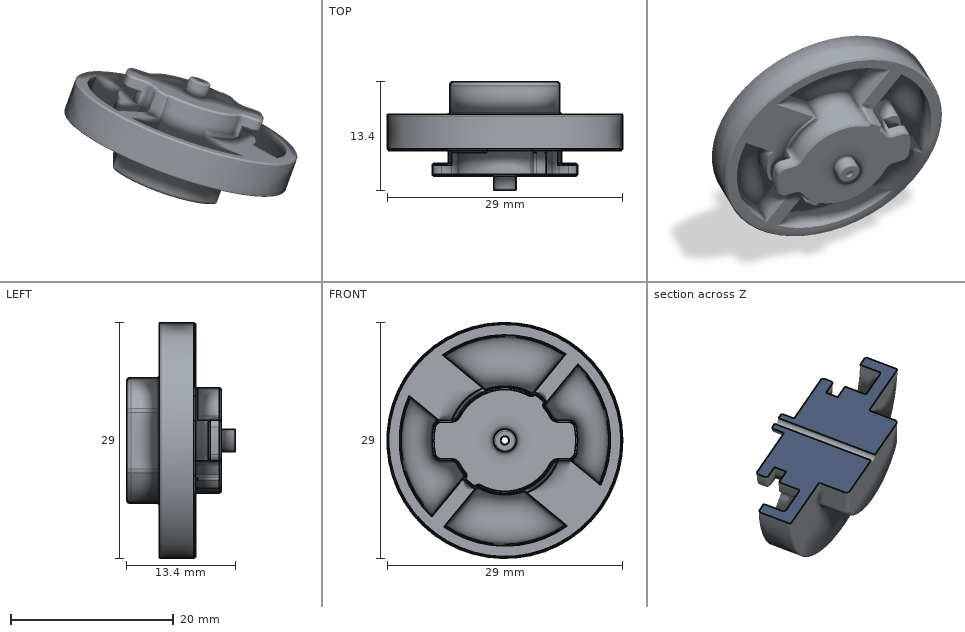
import cadquery as cq
import math


wheel_radius = 14.5
wheel_width = 4.5
rim_chamfer = 0.2
rim_fillet = 0.2

pocket_radius = 13.0
pocket_depth = 2.9
pocket_fillet = 0.2
narrow_web_angle = 50.5
narrow_web_width = 2.0
wide_web_angle = narrow_web_angle + 90
wide_web_width = 6.55

hub_radius = 6.5
hub_height = 3.15
hub_chamfer = 0.23
ring_radius = 7.0
ring_height = 0.3
ring_fillet = 0.3
tab_root_fillet = 0.2
tab_corner_fillet = 0.3
lobe_radius = 8.95
lobe_width = 5.0
lobe_thickness = 1.6
lobe_corner_fillet = 1.0
lobe_root_fillet = 1.0

shaft_radius = 1.4
shaft_length = 1.75
shaft_fillet = 0.2
bore_radius = 0.5

boss_radius = 7.75
boss_flat_width = 13.57
boss_height = 4.0
boss_corner_fillet = 1.0
boss_edge_fillet = 0.5
boss_base_fillet = 0.2

boss_back = wheel_width + boss_height
ring_front = -ring_height
hub_front = -hub_height
lobe_back = hub_front + lobe_thickness
shaft_front = hub_front - shaft_length
margin = 0.003


def disc(radius, back, front):
    """Cylinder on the Y axis between two Y positions."""
    return cq.Workplane("XZ", origin=(0, back, 0)).circle(radius).extrude(back - front)


def bar(width, angle, back, front):
    """Bar across the whole wheel, centred on the axis and turned by an angle from +X."""
    plane = cq.Workplane("XZ", origin=(0, back, 0)).transformed(rotate=(0, 0, angle))
    return plane.rect(2 * wheel_radius, width).extrude(back - front)


def axis_distance(edge):
    """Distance from the Y axis to the middle of an edge that runs along Y."""
    middle = edge.Center()
    return math.hypot(middle.x, middle.z)


def make_lobe_pair(back, front):
    """Two opposite lobes as one bar through the axis, with round ends and corners."""
    lobes = bar(lobe_width, 0, back, front).intersect(disc(lobe_radius, back, front))
    return lobes.edges("|Y").fillet(lobe_corner_fillet)


def make_wheel():
    wheel = disc(wheel_radius, wheel_width, 0)
    wheel = wheel.faces("<Y").edges().chamfer(rim_chamfer)
    wheel = wheel.faces(">Y").edges().fillet(rim_fillet)
    return wheel.union(disc(ring_radius, 0, ring_front))


def make_pockets():
    """Four pockets, kept clear of the webs, the hub and a pad behind each lobe."""
    pockets = disc(pocket_radius, pocket_depth, ring_front)
    pockets = pockets.cut(disc(hub_radius, pocket_depth, ring_front))
    pockets = pockets.cut(bar(narrow_web_width, narrow_web_angle, pocket_depth, ring_front))
    pockets = pockets.cut(bar(wide_web_width, wide_web_angle, pocket_depth, ring_front))
    pockets = pockets.cut(make_lobe_pair(pocket_depth, ring_front))
    return pockets.faces(">Y").edges().fillet(pocket_fillet)


def make_boss():
    boss = disc(boss_radius, boss_back, wheel_width)
    boss = boss.intersect(bar(boss_flat_width, 90, boss_back, wheel_width))
    boss = boss.edges("|Y").fillet(boss_corner_fillet)
    return boss.faces(">Y").edges().fillet(boss_edge_fillet)


def round_boss_base(body):
    """Fillet the corner where the boss meets the back of the wheel."""
    def at_base(edge):
        box = edge.BoundingBox()
        in_wheel_back = box.ylen < margin and abs(box.ymin - wheel_width) < margin
        return in_wheel_back and box.xlen < 2 * boss_radius + margin

    return body.edges().filter(at_base).fillet(boss_base_fillet)


def make_tabbed_hub():
    """Hub cylinder with a tab over each narrow web, reaching out to the ring."""
    tabs = bar(narrow_web_width, narrow_web_angle, 0, hub_front).intersect(disc(ring_radius, 0, hub_front))
    hub = disc(hub_radius, 0, hub_front).union(tabs)
    tab_corners = hub.edges("|Y").filter(lambda edge: axis_distance(edge) > ring_radius - margin)
    hub = tab_corners.fillet(tab_corner_fillet)

    tab_roots = hub.edges("|Y").filter(lambda edge: abs(axis_distance(edge) - hub_radius) < margin)
    return tab_roots.filter(lambda edge: abs(edge.Center().z) > margin).fillet(tab_root_fillet)


def make_lobe_undercut():
    """Gap between the wheel and the lobes, which leaves a round stem and chamfers the lobes' backs."""
    lobes = make_lobe_pair(lobe_back, hub_front).faces(">Y").edges().chamfer(hub_chamfer)
    gap_front = lobe_back - hub_chamfer
    gap = disc(wheel_radius, 0, gap_front).cut(disc(ring_radius, 0, gap_front))
    return gap.cut(lobes)


def make_hub():
    hub = make_tabbed_hub().union(make_lobe_pair(0, hub_front))

    def at_lobe_root(edge):
        on_lobe_side = abs(abs(edge.Center().z) - lobe_width / 2) < margin
        return on_lobe_side and abs(axis_distance(edge) - hub_radius) < margin

    hub = hub.edges("|Y").filter(at_lobe_root).fillet(lobe_root_fillet)
    hub = hub.faces("<Y").edges().chamfer(hub_chamfer)
    return hub.cut(make_lobe_undercut())


def round_ring_corner(body):
    """Fillet between the hub and the ring, on the wide web toward +X and -Z only."""
    def at_corner(edge):
        middle = edge.positionAt(0.5)
        on_hub = abs(math.hypot(middle.x, middle.z) - hub_radius) < margin
        return on_hub and abs(middle.y - ring_front) < margin and middle.x > 0 and middle.z < 0

    return body.edges("%CIRCLE").filter(at_corner).fillet(ring_fillet)


def make_shaft():
    shaft = disc(shaft_radius, 0, shaft_front)
    return shaft.faces("<Y").edges().fillet(shaft_fillet)


body = make_wheel().cut(make_pockets())
body = round_boss_base(body.union(make_boss()))
body = round_ring_corner(body.union(make_hub()))
body = body.union(make_shaft())
result = body.cut(disc(bore_radius, boss_back, shaft_front))